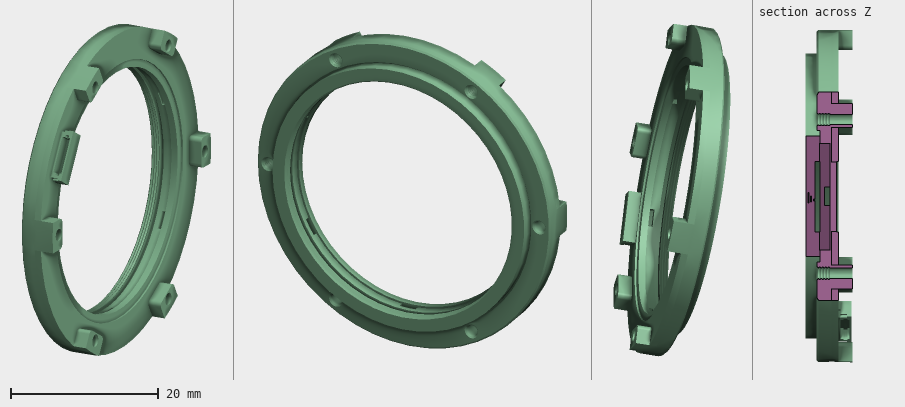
import cadquery as cq

housing_front = 1.55
lens_ring_back = 1.95
lip_front = 3.3
board_front = 3.55
lip_back = 4.25
board_back = 4.5
leg_end = 6.4

outer_dia = 45.0
rim_chamfer = 0.22
lens_bore_dia = 39.2
retainer_dia = 37.8
lip_bore_dia = 34.0
collar_dia = 36.2

leg_count = 6
leg_pitch = 360 / leg_count
leg_width = 4.3
leg_inner_radius = 19.75
leg_fillet = 0.65
screw_circle_radius = 20.8
screw_hole_dia = 1.7
screw_chamfer = 0.2
tapped_legs = (0, 1, 2)
tap_pitch = 0.4
tap_groove_depth = 0.15
tap_groove_count = 4

lens_ring_dia = 38.6
thread_major_dia = 35.0
thread_minor_dia = 34.6
thread_groove_count = 3
thread_pitch = 0.35
undercut_dia = 36.2

retainer_bore_dia = 34.6
slot_width = 2.45
slot_depth = 0.67
slot_floor_dia = 36.2
slot_start_angle = leg_pitch / 2

connector_angle = 180 - leg_pitch / 2
connector_length = 7.0
connector_depth = 2.45
connector_height = 1.7
connector_face_radius = 20.83
socket_length = 5.05
socket_floor = 0.25
socket_height = 1.2
socket_depth = 1.65
key_length = 5.65
key_floor = 0.67
key_height = 0.55
end_relief_width = 0.25
end_relief_height = 1.12
end_relief_depth = 0.4
foot_relief_height = 0.25
foot_relief_depth = 1.1


def tube(x_start, x_end, outside_dia, inside_dia):
    """Plain ring about the X axis."""
    return (
        cq.Workplane("YZ", origin=(x_start, 0, 0))
        .circle(outside_dia / 2)
        .circle(inside_dia / 2)
        .extrude(x_end - x_start)
    )


def turned_about_axis(shape, angle):
    """Turn a shape about the X axis; angles run from +Y towards +Z."""
    return shape.rotate((0, 0, 0), (1, 0, 0), angle)


def make_leg():
    """One leg at +Y, with a round outer face and a rounded inner end."""
    radial_length = outer_dia / 2 - leg_inner_radius
    bar = (
        cq.Workplane("XY")
        .box(leg_end - board_front, 2 * radial_length, leg_width, centered=(False, False, True))
        .translate((board_front, leg_inner_radius, 0))
        .edges("|X and <Y")
        .fillet(leg_fillet)
    )
    envelope = cq.Workplane("YZ", origin=(board_front, 0, 0)).circle(outer_dia / 2)
    return bar.intersect(envelope.extrude(leg_end - board_front))


def make_legs():
    leg = make_leg()
    legs = cq.Workplane("XY")
    for index in range(leg_count):
        legs = legs.add(turned_about_axis(leg, index * leg_pitch))
    return legs


def make_screw_hole(tapped):
    """Through hole at +Y with a countersunk front mouth, ribbed by thread grooves if tapped."""
    radius = screw_hole_dia / 2
    thread_start = housing_front + screw_chamfer
    profile = [(housing_front, 0), (housing_front, radius + screw_chamfer), (thread_start, radius)]
    if tapped:
        for index in range(tap_groove_count):
            groove_start = thread_start + index * tap_pitch
            profile.append((groove_start + tap_pitch / 2, radius + tap_groove_depth))
            profile.append((groove_start + tap_pitch, radius))
    profile.append((leg_end, radius))
    profile.append((leg_end, 0))
    hole = cq.Workplane("XY").polyline(profile).close().revolve(360, (0, 0, 0), (1, 0, 0))
    return hole.translate((0, screw_circle_radius, 0))


def make_housing(legs):
    """Outer ring that carries the legs, stepped inside for the two inner rings.

    A lip behind the retainer runs on as a collar that centres the board.
    """
    body = tube(housing_front, leg_end, outer_dia, lip_bore_dia)
    body = body.faces("<X").edges(cq.selectors.RadiusNthSelector(-1)).chamfer(rim_chamfer)
    body = body.cut(tube(housing_front, lens_ring_back, lens_bore_dia, lip_bore_dia))
    body = body.cut(tube(lens_ring_back, lip_front, retainer_dia, lip_bore_dia))
    body = body.cut(tube(lip_back, leg_end, collar_dia, lip_bore_dia))
    spaces_between_legs = tube(board_front, leg_end, outer_dia, collar_dia)
    for leg in legs.vals():
        spaces_between_legs = spaces_between_legs.cut(cq.Workplane(leg))
    body = body.cut(spaces_between_legs)
    for index in range(leg_count):
        hole = make_screw_hole(index in tapped_legs)
        body = body.cut(turned_about_axis(hole, index * leg_pitch))
    return body


def make_lens_ring():
    """Front ring with a chamfered mouth, ring-shaped thread grooves and a wider undercut behind."""
    major = thread_major_dia / 2
    minor = thread_minor_dia / 2
    mouth_depth = major - minor
    half_pitch = thread_pitch / 2
    thread_end = mouth_depth + thread_groove_count * thread_pitch
    profile = [(0, lens_ring_dia / 2), (0, major), (mouth_depth, minor)]
    for index in range(thread_groove_count):
        groove_start = mouth_depth + index * thread_pitch
        profile.append((groove_start + half_pitch, major))
        profile.append((groove_start + thread_pitch, minor))
    profile.append((thread_end, undercut_dia / 2))
    profile.append((lens_ring_back, undercut_dia / 2))
    profile.append((lens_ring_back, lens_ring_dia / 2))
    return cq.Workplane("XY").polyline(profile).close().revolve(360, (0, 0, 0), (1, 0, 0))


def make_retainer():
    """Ring behind the lens ring, with slots in its rear edge midway between the legs."""
    body = tube(lens_ring_back, lip_front, retainer_dia, retainer_bore_dia)
    slot = (
        cq.Workplane("XY")
        .box(slot_depth, retainer_dia / 2, slot_width, centered=(False, False, True))
        .translate((lip_front - slot_depth, 0, 0))
        .intersect(tube(lens_ring_back, lip_front, slot_floor_dia, lip_bore_dia))
    )
    for index in range(leg_count):
        body = body.cut(turned_about_axis(slot, slot_start_angle + index * leg_pitch))
    return body


def make_board(legs):
    """Flat ring round the collar, notched at its rim to fit round the legs."""
    board = tube(board_front, board_back, outer_dia, collar_dia)
    for leg in legs.vals():
        board = board.cut(cq.Workplane(leg))
    return board


def connector_block(height, depth, length):
    """Block at +Y on the board, flush with the connector's outward face."""
    return (
        cq.Workplane("XY")
        .box(height, depth, length, centered=(False, False, True))
        .translate((board_back, connector_face_radius - depth, 0))
    )


def make_connector():
    """Socket on the board that opens outwards, with relieved ends."""
    body = connector_block(connector_height, connector_depth, connector_length)
    socket = connector_block(socket_height, socket_depth, socket_length).translate((socket_floor, 0, 0))
    key = connector_block(key_height, socket_depth, key_length).translate((key_floor, 0, 0))
    body = body.cut(socket).cut(key)
    for side in (-1, 1):
        offset = (0, 0, side * (connector_length - end_relief_width) / 2)
        relief = connector_block(end_relief_height, end_relief_depth, end_relief_width)
        foot_relief = connector_block(foot_relief_height, foot_relief_depth, end_relief_width)
        body = body.cut(relief.translate(offset)).cut(foot_relief.translate(offset))
    return turned_about_axis(body, connector_angle)


leg_set = make_legs()
housing = make_housing(leg_set)
lens_ring = make_lens_ring()
retainer = make_retainer()
board = make_board(leg_set)
connector = make_connector()

result = cq.Compound.makeCompound(
    [housing.val(), lens_ring.val(), retainer.val(), board.val(), connector.val()]
)